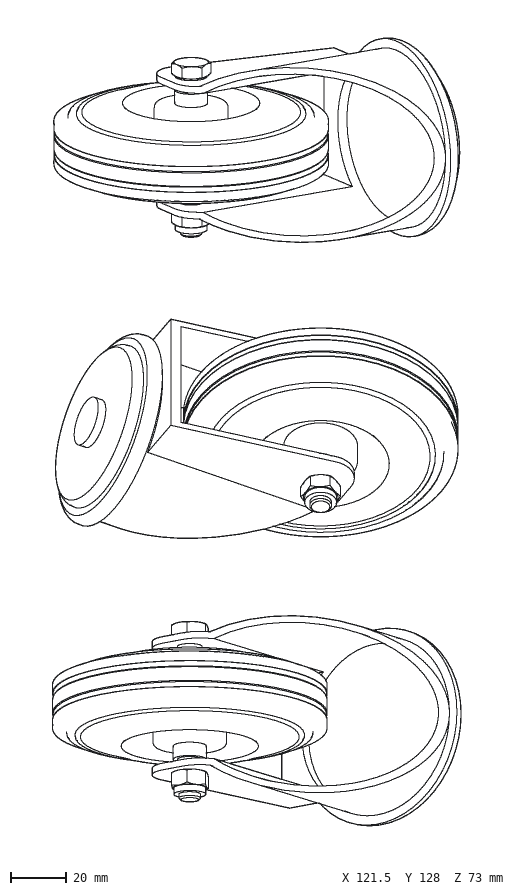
import cadquery as cq
import math


overall_length = 128.0
wheel_radius = 100.0 / 2

swivel_x = 35.0
stud_diameter = 18.3
flange_diameter = 73.0
cap_diameter = 62.1
flange_bottom_y = 66.3
flange_edge_height = 1.2
cap_edge_height = 0.4
flange_crown_height = 3.7
cap_crown_height = 3.3
crown_rounding = 4.0
stud_top_y = overall_length - wheel_radius

arm_outer_z = 25.0
shell_radius = 33.0
shell_bore_radius = 61.0 / 2
wall = shell_radius - shell_bore_radius
base_top_y = 64.4
base_thickness = 4.0
base_left_x = -4.4
arm_corner_radius = 10.0
arm_corner_x = 4.7

groove_radius = 99.5 / 2
groove_outer_z = 4.9
groove_inner_z = 3.0
groove_slope = 0.4
tread_edge_z = 8.3
shoulder_radius = 46.0
shoulder_z = 9.5
bead_radius = 44.8
bead_z = 10.6
rim_radius = 41.7
rim_z = 11.4
cone_outer_radius = 39.8
cone_inner_radius = 30.0
face_z = 14.8
recess_radius = 25.0
recess_floor_radius = 19.7
recess_floor_z = 6.5
hub_radius = 13.5
hub_z = face_z
sleeve_radius = 12.0 / 2
sleeve_z = 19.8
tread_rounding = 0.5
shoulder_rounding = 0.4
bead_rounding = 0.6
rim_rounding = 0.4
face_rounding = 3.0
recess_rounding = 2.8
hub_rounding = 1.7

axle_diameter = 9.0
tip_diameter = 8.0
tip_chamfer = 0.6
collar_diameter = 11.6
hex_across_flats = 12.5
head_face_z = 25.6
head_top_z = 30.3
nut_bottom_z = -30.6
collar_bottom_z = -32.9
tip_bottom_z = -35.0


def cylinder_y(x, radius, bottom, top):
    """Solid cylinder along Y between two heights."""
    circle = cq.Workplane("XZ", origin=(x, bottom, 0)).circle(radius)
    return circle.extrude(bottom - top)


def cylinder_z(radius, bottom, top):
    """Solid cylinder along the wheel axis."""
    return cq.Workplane("XY").workplane(offset=bottom).circle(radius).extrude(top - bottom)


def block(x_min, x_max, y_min, y_max, half_height):
    """Box centred on Z = 0."""
    box = cq.Workplane("XY").box(x_max - x_min, y_max - y_min, 2 * half_height, centered=(False, False, True))
    return box.translate((x_min, y_min, 0))


def tangent_point(center, radius, point, side):
    """Where a line from point touches a circle; side is +1 or -1."""
    dx = point[0] - center[0]
    dy = point[1] - center[1]
    angle = math.atan2(dy, dx) + side * math.acos(radius / math.hypot(dx, dy))
    return (center[0] + radius * math.cos(angle), center[1] + radius * math.sin(angle))


def fork_outline():
    """Side outline: narrow arm with two round lower corners, sloping out to the shell."""
    r = arm_corner_radius
    left_top = (base_left_x, base_top_y)
    right_top = (swivel_x + shell_radius, flange_bottom_y)
    left_touch = tangent_point((-arm_corner_x, 0), r, left_top, 1)
    right_touch = tangent_point((arm_corner_x, 0), r, right_top, -1)
    half_height = shell_radius + wall
    return (
        cq.Workplane("XY").workplane(offset=-half_height)
        .moveTo(base_left_x, flange_bottom_y)
        .lineTo(*left_top)
        .lineTo(*left_touch)
        .radiusArc((-arm_corner_x, -r), -r)
        .lineTo(arm_corner_x, -r)
        .radiusArc(right_touch, -r)
        .lineTo(*right_top)
        .close()
        .extrude(2 * half_height)
    )


def crown_radius(radius, height):
    """Radius at the top of a rounding that starts upright."""
    return radius - crown_rounding + math.sqrt(crown_rounding**2 - height**2)


def swivel_head():
    """Turned head: rounded flange, rounded cap and stud stacked along the swivel axis."""
    flange_radius = flange_diameter / 2
    cap_radius = cap_diameter / 2
    stud_radius = stud_diameter / 2
    flange_crown_y = flange_bottom_y + flange_edge_height
    cap_bottom_y = flange_crown_y + flange_crown_height
    cap_crown_y = cap_bottom_y + cap_edge_height
    cap_top_y = cap_crown_y + cap_crown_height
    profile = (
        cq.Workplane("XY", origin=(swivel_x, 0, 0))
        .moveTo(0, flange_bottom_y)
        .lineTo(flange_radius, flange_bottom_y)
        .lineTo(flange_radius, flange_crown_y)
        .radiusArc((crown_radius(flange_radius, flange_crown_height), cap_bottom_y), -crown_rounding)
        .lineTo(cap_radius, cap_bottom_y)
        .lineTo(cap_radius, cap_crown_y)
        .radiusArc((crown_radius(cap_radius, cap_crown_height), cap_top_y), -crown_rounding)
        .lineTo(stud_radius, cap_top_y)
        .lineTo(stud_radius, stud_top_y)
        .lineTo(0, stud_top_y)
        .close()
    )
    return profile.revolve(360, (0, 0, 0), (0, 1, 0))


def make_fork():
    """Two arms joined by a round shell and a base, with the swivel head on top."""
    left = -arm_corner_x - 2 * arm_corner_radius
    bottom = -2 * arm_corner_radius
    outside = block(left, swivel_x, bottom, base_top_y, arm_outer_z)
    outside = outside.union(cylinder_y(swivel_x, shell_radius, bottom, flange_bottom_y))
    fork = outside.intersect(fork_outline())
    fork = fork.cut(block(left, swivel_x, bottom, base_top_y - base_thickness, arm_outer_z - wall))
    fork = fork.cut(cylinder_y(swivel_x, shell_bore_radius, bottom, base_top_y))
    fork = fork.cut(cylinder_z(axle_diameter / 2, -shell_radius, shell_radius))
    return fork.union(swivel_head())


def make_wheel():
    """Turned wheel, symmetric about Z = 0, with a hub and sleeve in a recess on each side."""
    upper_profile = [
        (wheel_radius, groove_inner_z - groove_slope),
        (groove_radius, groove_inner_z),
        (groove_radius, groove_outer_z),
        (wheel_radius, groove_outer_z),
        (wheel_radius, tread_edge_z),
        (shoulder_radius, shoulder_z),
        (bead_radius, shoulder_z),
        (bead_radius, bead_z),
        (rim_radius, bead_z),
        (rim_radius, rim_z),
        (cone_outer_radius, rim_z),
        (cone_inner_radius, face_z),
        (recess_radius, face_z),
        (recess_floor_radius, recess_floor_z),
        (hub_radius, recess_floor_z),
        (hub_radius, hub_z),
        (sleeve_radius, hub_z),
        (sleeve_radius, sleeve_z),
        (axle_diameter / 2, sleeve_z),
    ]
    lower_profile = [(radius, -z) for radius, z in reversed(upper_profile)]
    wheel = cq.Workplane("XZ").polyline(upper_profile + lower_profile).close()
    wheel = wheel.revolve(360, (0, 0, 0), (0, 1, 0))

    roundings = [
        (wheel_radius, tread_edge_z, tread_rounding),
        (bead_radius, shoulder_z, shoulder_rounding),
        (bead_radius, bead_z, bead_rounding),
        (rim_radius, rim_z, rim_rounding),
        (cone_inner_radius, face_z, face_rounding),
        (recess_floor_radius, recess_floor_z, recess_rounding),
        (hub_radius, hub_z, hub_rounding),
    ]
    for ring_radius, ring_z, rounding in roundings:
        wheel = round_rings(wheel, ring_radius, ring_z, rounding)
    return wheel


def round_rings(body, ring_radius, ring_z, rounding):
    """Fillet the circular edges of one radius at +-ring_z."""
    tolerance = 0.001
    rings = [
        edge for edge in body.edges("%CIRCLE").vals()
        if abs(edge.radius() - ring_radius) < tolerance
        and abs(abs(edge.Center().z) - ring_z) < tolerance
    ]
    return body.newObject(rings).fillet(rounding)


def hexagon(bottom, top):
    """Hexagon prism with its corners along X, bevelled at both ends."""
    corner_diameter = hex_across_flats / math.cos(math.pi / 6)
    bevel_width = (corner_diameter - hex_across_flats) / 2
    bevel_height = bevel_width * math.tan(math.pi / 6)
    prism = cq.Workplane("XY").workplane(offset=bottom).polygon(6, corner_diameter).extrude(top - bottom)
    envelope = cylinder_z(corner_diameter / 2, bottom, top)
    envelope = envelope.faces("<Z or >Z").edges().chamfer(bevel_height, bevel_width)
    return prism.intersect(envelope)


def make_axle():
    """Hexagon bolt with its collar nut, one body."""
    axle = cylinder_z(axle_diameter / 2, -arm_outer_z, arm_outer_z)
    axle = axle.union(cylinder_z(collar_diameter / 2, arm_outer_z, head_face_z))
    axle = axle.union(hexagon(head_face_z, head_top_z))
    axle = axle.union(hexagon(nut_bottom_z, -arm_outer_z))
    axle = axle.union(cylinder_z(collar_diameter / 2, collar_bottom_z, nut_bottom_z))
    tip = cylinder_z(tip_diameter / 2, tip_bottom_z, collar_bottom_z)
    return axle.union(tip.faces("<Z").edges().chamfer(tip_chamfer))


fork = make_fork()
wheel = make_wheel()
axle = make_axle()

result = cq.Compound.makeCompound([fork.val(), wheel.val(), axle.val()])